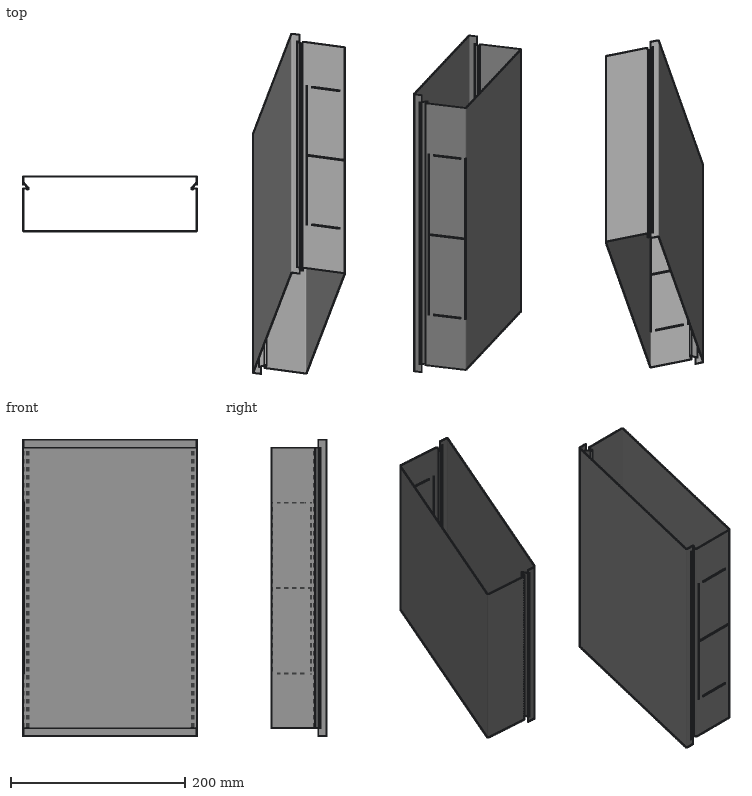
import cadquery as cq

length = 340.0
width = 200.0
depth = 63.5
sheet = 0.8
bend_radius = 1.7

flange_depth = 10.0

box_length = 321.5
lip_drop = 13.5
lip_width = 5.5

bead_radius = 1.5
bead_drop = 14.0
bead_inset = 5.5
leaf_tip_drop = 6.8
leaf_tip_height = 1.0

slit_width = 1.0
slit_span = 197.0
rear_slit_drop = 17.7
front_slit_offset = 0.5
short_slit_length = 32.3
short_slit_drop = 24.5
slit_cut_depth = 2 * sheet

half_width = width / 2
back_y = depth / 2
front_y = -depth / 2
lip_y = back_y - lip_drop
bead_y = back_y - bead_drop


def block(x_min, x_max, y_min, y_max, height):
    """Box between the given X and Y limits, centred on Z = 0."""
    return (
        cq.Workplane("XY")
        .box(x_max - x_min, y_max - y_min, height)
        .translate(((x_min + x_max) / 2, (y_min + y_max) / 2, 0))
    )


def rounded_tube(y_min, y_max, height):
    """Full-width rectangular sheet tube with rounded bends."""
    outer = block(-half_width, half_width, y_min, y_max, height)
    inner = block(-half_width + sheet, half_width - sheet, y_min + sheet, y_max - sheet, height)
    return outer.edges("|Z").fillet(bend_radius).cut(inner.edges("|Z").fillet(bend_radius - sheet))


def make_cover():
    """Back plate with two bent flanges, open toward the front."""
    tube = rounded_tube(front_y, back_y, length)
    return tube.intersect(block(-half_width, half_width, back_y - flange_depth, back_y, length))


def make_left_hook():
    """Bead at the -X lip and the leaf reaching from it out to the cover flange."""
    tip_x = -half_width + sheet
    tip_y = back_y - leaf_tip_drop
    bead_x = -half_width + bead_inset
    leaf = (
        cq.Workplane("XY", origin=(0, 0, -box_length / 2))
        .moveTo(tip_x, tip_y)
        .lineTo(bead_x, bead_y + bead_radius)
        .lineTo(bead_x, bead_y)
        .lineTo(tip_x, tip_y - leaf_tip_height)
        .close()
        .extrude(box_length)
    )
    bead = (
        cq.Workplane("XY", origin=(bead_x, bead_y, -box_length / 2))
        .circle(bead_radius)
        .extrude(box_length)
    )
    return leaf.union(bead)


def slit(y_min, y_max, z_min, z_max):
    """Cutter through the -X wall."""
    cutter = block(-half_width, -half_width + slit_cut_depth, y_min, y_max, z_max - z_min)
    return cutter.translate((0, 0, (z_min + z_max) / 2))


def cut_knockouts(body):
    """Outline two knockout panels, one above the other, with narrow slits."""
    rear_y = back_y - rear_slit_drop
    front_slit_y = front_y + front_slit_offset
    half_span = slit_span / 2
    half_slit = slit_width / 2

    for y_min in (rear_y - slit_width, front_slit_y):
        body = body.cut(slit(y_min, y_min + slit_width, -half_span, half_span))

    body = body.cut(slit(front_slit_y, rear_y, -half_slit, half_slit))

    short_y = back_y - short_slit_drop
    for side in (-1, 1):
        slit_z = side * (half_span - half_slit)
        cutter = slit(short_y - short_slit_length, short_y, slit_z - half_slit, slit_z + half_slit)
        body = body.cut(cutter)
    return body


def make_box():
    """Deep channel with inward lips, snap hooks and knockout slits."""
    mouth_half = half_width - lip_width
    mouth = block(-mouth_half, mouth_half, lip_y - sheet, lip_y, box_length)
    hook = make_left_hook()
    body = rounded_tube(front_y, lip_y, box_length).cut(mouth)
    body = body.union(hook).union(hook.mirror("YZ"))
    return cut_knockouts(body)


cover = make_cover()
box = make_box()

result = cq.Compound.makeCompound([cover.val(), box.val()])